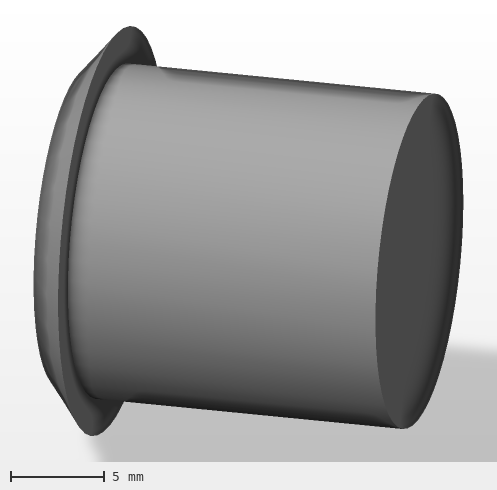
import cadquery as cq

total_length = 19.0
flange_diameter = 22.0

flange_thickness = 2.0
face_diameter = 17.23
plug_diameter = 18.0

half_profile = (
    cq.Workplane("XY")
    .lineTo(0, face_diameter / 2)
    .lineTo(flange_thickness, flange_diameter / 2)
    .lineTo(flange_thickness, plug_diameter / 2)
    .lineTo(total_length, plug_diameter / 2)
    .lineTo(total_length, 0)
    .close()
)

result = half_profile.revolve(360, (0, 0, 0), (1, 0, 0))